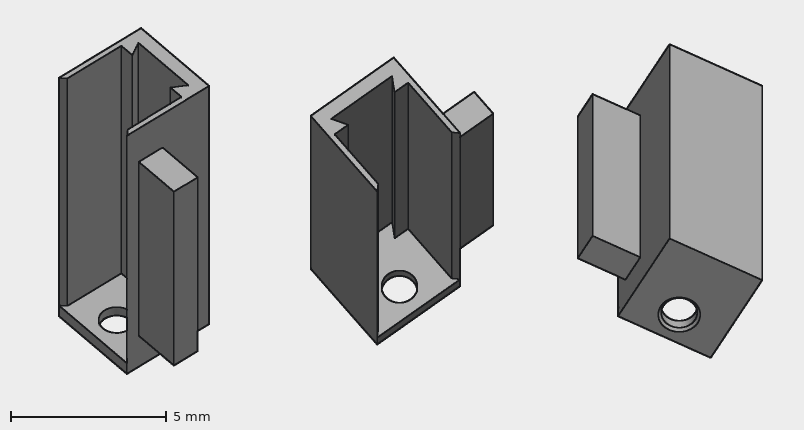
import cadquery as cq
import math

height = 11.0
depth = 3.46
overall_width = 5.15
body_width = 3.4

side_wall = 0.2
back_wall = 0.5
floor_thickness = 0.5
groove_depth = 0.51
groove_back_width = 2.49
groove_flank_angle = 60.0

hole_diameter = 1.15
hole_from_front = 1.0
hole_bottom_chamfer = 0.1

tab_thickness = 1.0
tab_bottom = 1.43
tab_height = 8.03

half_body = body_width / 2
half_channel = half_body - side_wall
half_groove_back = groove_back_width / 2
half_groove_mouth = half_groove_back - groove_depth / math.tan(math.radians(groove_flank_angle))
groove_back_y = depth - back_wall
ledge_y = groove_back_y - groove_depth


def make_body():
    return cq.Workplane("XY").box(body_width, depth, height, centered=(True, False, False))


def make_channel():
    """Open-front channel with bevelled lips and a dovetail groove in its back wall."""
    right_side = [
        (half_body, 0),
        (half_channel, side_wall),
        (half_channel, ledge_y),
        (half_groove_mouth, ledge_y),
        (half_groove_back, groove_back_y),
    ]
    left_side = [(-x, y) for x, y in reversed(right_side)]
    return (
        cq.Workplane("XY")
        .workplane(offset=floor_thickness)
        .polyline(right_side + left_side)
        .close()
        .extrude(height - floor_thickness)
    )


def make_hole_chamfer():
    """45 degree cone that widens the hole towards the base."""
    return (
        cq.Workplane("XY")
        .center(0, hole_from_front)
        .circle(hole_diameter / 2 + hole_bottom_chamfer)
        .workplane(offset=hole_bottom_chamfer)
        .circle(hole_diameter / 2)
        .loft()
    )


def make_floor_hole():
    """Through hole, chamfered on the underside of the floor."""
    return (
        cq.Workplane("XY")
        .center(0, hole_from_front)
        .circle(hole_diameter / 2)
        .extrude(floor_thickness)
        .union(make_hole_chamfer())
    )


def make_tab():
    """Rectangular tab, centred in Y on the screw hole."""
    return (
        cq.Workplane("XY")
        .box(overall_width - body_width, tab_thickness, tab_height, centered=(False, True, False))
        .translate((half_body, hole_from_front, tab_bottom))
    )


result = make_body().cut(make_channel()).cut(make_floor_hole()).union(make_tab())